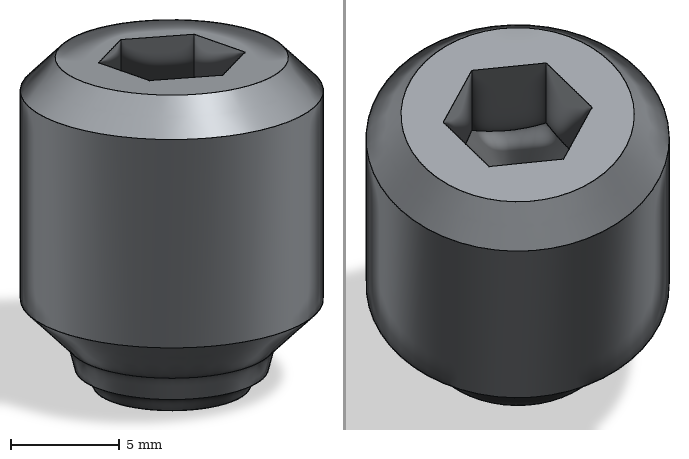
import cadquery as cq
import math

TOTAL_HEIGHT = 16.0
BODY_DIAMETER = 14.0
TOP_CHAMFER = 1.62
LIP_BOTTOM_Z = 0.83
LIP_TOP_Z = 1.97
LIP_BOTTOM_RADIUS = 4.46
LIP_TOP_RADIUS = 4.75
BALL_RADIUS = 4.3
BALL_CENTER_Z = 2.32
HEX_ACROSS_FLATS = 6.0
SOCKET_DEPTH = 4.16
SOCKET_POINT_ANGLE = 120.0

body_radius = BODY_DIAMETER / 2
ball_top_z = BALL_CENTER_Z + BALL_RADIUS
ball_flat_radius = math.sqrt(BALL_RADIUS**2 - BALL_CENTER_Z**2)
cone_top_z = LIP_TOP_Z + body_radius - LIP_TOP_RADIUS
hex_corner_radius = HEX_ACROSS_FLATS / math.sqrt(3)
socket_point_depth = hex_corner_radius / math.tan(math.radians(SOCKET_POINT_ANGLE / 2))


def revolve_profile(points):
    """Revolve a closed (radius, Z) outline a full turn around the Z axis."""
    return cq.Workplane("XZ").polyline(points).close().revolve(360, (0, 0), (0, 1))


def make_socket():
    """Hexagonal key socket, corners on X, with a conical floor."""
    floor_z = TOTAL_HEIGHT - SOCKET_DEPTH
    point_z = floor_z - socket_point_depth
    prism = (
        cq.Workplane("XY", origin=(0, 0, point_z))
        .polygon(6, 2 * hex_corner_radius)
        .extrude(TOTAL_HEIGHT - point_z)
    )
    envelope = revolve_profile([
        (0, point_z),
        (hex_corner_radius, floor_z),
        (hex_corner_radius, TOTAL_HEIGHT),
        (0, TOTAL_HEIGHT),
    ])
    return prism.intersect(envelope)


def make_ball():
    """Pressure ball with a flat on its lower end, held in the screw by the lip."""
    return (
        cq.Workplane("XZ")
        .lineTo(ball_flat_radius, 0)
        .threePointArc((BALL_RADIUS, BALL_CENTER_Z), (0, ball_top_z))
        .close()
        .revolve(360, (0, 0), (0, 1))
    )


def make_screw():
    """Screw body with a top chamfer, a lower cone and a tapered lip, hollowed to hold the ball."""
    blank = revolve_profile([
        (0, LIP_BOTTOM_Z),
        (LIP_BOTTOM_RADIUS, LIP_BOTTOM_Z),
        (LIP_TOP_RADIUS, LIP_TOP_Z),
        (body_radius, cone_top_z),
        (body_radius, TOTAL_HEIGHT - TOP_CHAMFER),
        (body_radius - TOP_CHAMFER, TOTAL_HEIGHT),
        (0, TOTAL_HEIGHT),
    ])
    return blank.cut(make_socket()).cut(make_ball())


screw = make_screw()
ball = make_ball()
result = cq.Compound.makeCompound([screw.val(), ball.val()])